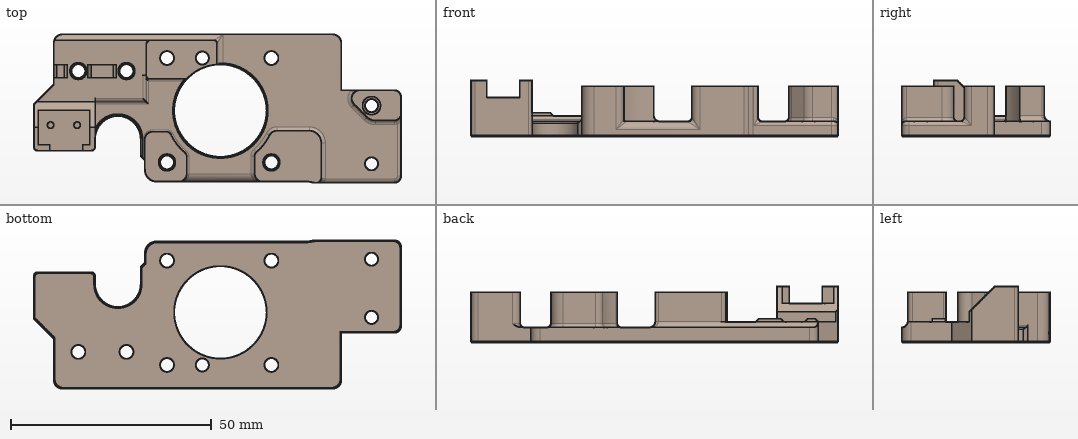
import cadquery as cq
import math


PLATE_TOP = 3.8
LEDGE_TOP = 5.15
POST_TOP = 12.6
TOWER_TOP = 14.0

LENGTH = 91.55
WIDTH = 37.04
X_MIN = -46.2
X_MAX = X_MIN + LENGTH
Y_MAX = 18.95
Y_MIN = Y_MAX - WIDTH
FRONT_Y = -17.8
LEDGE_LEFT_X = -41.25
WING_TOP_Y = 5.0
WING_LEFT_X = 30.45
BACK_CORNER_R = 2.3
WING_CORNER_R = 1.8
FRONT_CORNER_R = 3.0
JOG_X = (21.8, 24.1)
BOTTOM_CHAMFER = 0.3

BOLT_HALF = 13.0
OPENING_X = 0.3
OPENING_Y = -0.1
OPENING_D = 23.0
OPENING_CHAMFER = 0.35
MOTOR_CLEARANCE_R = 13.7
BOLT_D = 3.4
SCREW_D = 3.2
BOLT_RIM_D = 4.2

TOWER_RIGHT_X = -30.9
TOWER_FRONT_Y = -10.1
TOWER_BACK_Y = 2.05
TOWER_SLOPE_Y = -4.25
TOWER_CORNER_R = 1.0
SIDE_CHAMFER_Y = 1.47
POCKET_X = (-45.05, -32.3)
POCKET_Y = (-8.6, 0.0)
POCKET_FLOOR = 9.8
MOUTH_X = (-42.2, -34.0)
PILOT_X = (-42.0, -35.4)
PILOT_Y = -3.7
PILOT_D = 1.6
PILOT_DEPTH = 6.0

NOTCH_R = 5.65
NOTCH_X = TOWER_RIGHT_X + NOTCH_R
NOTCH_Y = -7.1
NOTCH_END_Y = -11.4
NOTCH_CHAMFER = 0.5

LEDGE_RIGHT_X = -18.2
LEDGE_FRONT_Y = 2.1
LEDGE_FOOT_R = 0.5
LEDGE_ROUND_R = LEDGE_TOP - PLATE_TOP - LEDGE_FOOT_R
RIB_Y = 9.75
RIB_WIDTH = 3.2
RIB_HEIGHT = 0.8
RIB_SPANS = ((LEDGE_LEFT_X, -37.8), (-32.7, -25.6))
LEDGE_HOLE_X = (-35.1, -23.1)

POST_RIGHT_X = -0.6
POST_FRONT_Y = 7.85
POST_EDGE_R = 0.8
POST_BACK_R = (1.2, 0.7)
POST_FOOT_R = 0.5
COVE_R = 1.5
POST_HOLE_X = -4.2

SMALL_BOSS_X = (-18.55, -8.1)
SMALL_BOSS_BACK_Y = -5.35
BIG_BOSS_X = (8.85, 25.4)
BIG_BOSS_BACK_Y = -5.1
BOSS_CORNER_R = 2.0
BOSS_ARC_EDGE_R = 1.2
BIG_BOSS_BACK_R = 3.0
BIG_BOSS_FRONT_R = 1.2
SMALL_FOOT_R = 0.5
BIG_FOOT_R = 1.0

WING_BOSS_FRONT_Y = -2.55
WING_BOSS_DIAGONAL = 35.1
WING_TIP_R = 2.05
WING_DIAGONAL_R = 3.0
WING_HOLE_X = 37.95
WING_HOLE_Y = (1.15, -13.35)
WING_BORE_D = 4.5
WING_BORE_DEPTH = 1.0

MID_EDGE_R = 2.0
WING_EDGE_R = 1.0

PICK_REACH = 0.05


def box(x, y, z):
    """Box from three (low, high) pairs."""
    size = (x[1] - x[0], y[1] - y[0], z[1] - z[0])
    return cq.Workplane("XY").box(*size, centered=False).translate((x[0], y[0], z[0]))


def rod(x, y, diameter, z_low, z_high):
    return cq.Workplane("XY", origin=(x, y, z_low)).circle(diameter / 2).extrude(z_high - z_low)


def cone_cut(x, y, small_d, large_d, z_top):
    """45 degree countersink that opens at z_top."""
    depth = (large_d - small_d) / 2
    solid = cq.Solid.makeCone(small_d / 2, large_d / 2, depth, cq.Vector(x, y, z_top - depth))
    return cq.Workplane(obj=solid)


def at(shape, x, y):
    """Vertical edges of the shape that stand at (x, y)."""
    selector = cq.selectors.BoxSelector(
        (x - PICK_REACH, y - PICK_REACH, 0), (x + PICK_REACH, y + PICK_REACH, TOWER_TOP))
    return shape.edges("|Z").edges(selector)


def level_edges(shape, x, y, z):
    """Straight edges of the shape at height z whose centres lie inside the given X and Y ranges."""
    selector = cq.selectors.BoxSelector((x[0], y[0], z - PICK_REACH), (x[1], y[1], z + PICK_REACH))
    return shape.edges("#Z").edges(selector)


def outline_block():
    """Outline of the whole part, extruded to full height, with its underside edge chamfered."""
    side_chamfer = LEDGE_LEFT_X - X_MIN
    notch_right = NOTCH_X + NOTCH_R
    boss_x = SMALL_BOSS_X[0]
    toe = boss_x - notch_right
    jog_mid = ((JOG_X[0] + JOG_X[1]) / 2, (FRONT_Y + Y_MIN) / 2)
    shape = (
        cq.Workplane("XY")
        .moveTo(X_MIN, TOWER_FRONT_Y)
        .lineTo(TOWER_RIGHT_X, TOWER_FRONT_Y)
        .lineTo(TOWER_RIGHT_X, NOTCH_Y)
        .threePointArc((NOTCH_X, NOTCH_Y + NOTCH_R), (notch_right, NOTCH_Y))
        .lineTo(notch_right, NOTCH_END_Y)
        .lineTo(boss_x, NOTCH_END_Y - toe)
        .lineTo(boss_x, FRONT_Y)
        .lineTo(JOG_X[0], FRONT_Y)
        .tangentArcPoint(jog_mid, relative=False)
        .tangentArcPoint((JOG_X[1], Y_MIN), relative=False)
        .lineTo(X_MAX, Y_MIN)
        .lineTo(X_MAX, WING_TOP_Y)
        .lineTo(WING_LEFT_X, WING_TOP_Y)
        .lineTo(WING_LEFT_X, Y_MAX)
        .lineTo(LEDGE_LEFT_X, Y_MAX)
        .lineTo(LEDGE_LEFT_X, SIDE_CHAMFER_Y + side_chamfer)
        .lineTo(X_MIN, SIDE_CHAMFER_Y)
        .close()
        .extrude(TOWER_TOP)
    )
    corners = (
        (X_MIN, TOWER_FRONT_Y, TOWER_CORNER_R),
        (TOWER_RIGHT_X, TOWER_FRONT_Y, TOWER_CORNER_R),
        (boss_x, FRONT_Y, FRONT_CORNER_R),
        (X_MAX, Y_MIN, WING_CORNER_R),
        (X_MAX, WING_TOP_Y, WING_CORNER_R),
        (WING_LEFT_X, Y_MAX, BACK_CORNER_R),
        (LEDGE_LEFT_X, Y_MAX, BACK_CORNER_R),
    )
    for x, y, radius in corners:
        shape = at(shape, x, y).fillet(radius)
    return shape.faces("<Z").chamfer(BOTTOM_CHAMFER)


def make_plate(block):
    """Base plate with the notch edge chamfered and two stretches of its front edge rounded."""
    plate = block.intersect(box((X_MIN, X_MAX), (Y_MIN, Y_MAX), (0, PLATE_TOP)))
    notch_x = (NOTCH_X, NOTCH_X + NOTCH_R + PICK_REACH)
    notch_y = (NOTCH_END_Y, NOTCH_Y)
    plate = level_edges(plate, notch_x, notch_y, PLATE_TOP).chamfer(NOTCH_CHAMFER)

    middle = box(
        (SMALL_BOSS_X[1] - BOSS_CORNER_R, BIG_BOSS_X[0] + BOSS_CORNER_R),
        (Y_MIN, -BOLT_HALF), (0, PLATE_TOP))
    wing = box((JOG_X[1], X_MAX), (Y_MIN, 0), (0, PLATE_TOP))
    middle_piece = plate.intersect(middle).edges(">Z and <Y").fillet(MID_EDGE_R)
    wing_piece = plate.intersect(wing).edges(">Z and >X").fillet(WING_EDGE_R)
    return plate.cut(middle).cut(wing).union(middle_piece).union(wing_piece)


def bend_point(center_u, center_z, radius, side_u, side_z):
    """Middle of a quarter arc; side_u and side_z (-1 or 1) give its quadrant about the centre."""
    reach = radius * math.sqrt(0.5)
    return (center_u + side_u * reach, center_z + side_z * reach)


def ledge_edge_cutter(plane, start, wall, outward, length):
    """Removes the outside of an S-shaped ledge edge; outward (-1 or 1) points off the ledge."""
    crest = wall - outward * LEDGE_ROUND_R
    toe = wall + outward * LEDGE_FOOT_R
    waist_z = PLATE_TOP + LEDGE_FOOT_R
    return (
        cq.Workplane(plane, origin=start)
        .moveTo(crest, LEDGE_TOP)
        .threePointArc(bend_point(crest, waist_z, LEDGE_ROUND_R, outward, 1), (wall, waist_z))
        .threePointArc(bend_point(toe, waist_z, LEDGE_FOOT_R, -outward, -1), (toe, PLATE_TOP))
        .lineTo(toe, LEDGE_TOP)
        .close()
        .extrude(length)
    )


def make_ledge(block):
    """Raised left part of the plate; its front and right edges bend down to the plate."""
    toe_x = LEDGE_RIGHT_X + LEDGE_FOOT_R
    toe_y = LEDGE_FRONT_Y - LEDGE_FOOT_R
    back_y = POST_FRONT_Y + LEDGE_ROUND_R
    bent = box((TOWER_RIGHT_X, toe_x), (toe_y, back_y), (0, LEDGE_TOP))
    bent = bent.cut(ledge_edge_cutter("YZ", (TOWER_RIGHT_X, 0, 0), LEDGE_FRONT_Y, -1, toe_x - TOWER_RIGHT_X))
    bent = bent.cut(ledge_edge_cutter("XZ", (0, back_y, 0), LEDGE_RIGHT_X, 1, back_y - toe_y))
    square = box((X_MIN, LEDGE_RIGHT_X), (back_y, Y_MAX), (0, LEDGE_TOP))
    heel = box((X_MIN, TOWER_RIGHT_X), (TOWER_FRONT_Y, back_y), (0, LEDGE_TOP))
    return block.intersect(bent.union(square).union(heel))


def make_post(block):
    """Back post beside the motor opening."""
    post = box((LEDGE_RIGHT_X, POST_RIGHT_X + COVE_R), (POST_FRONT_Y, Y_MAX), (0, POST_TOP))
    post = at(post, LEDGE_RIGHT_X, POST_FRONT_Y).fillet(POST_EDGE_R)
    toe_y = POST_FRONT_Y - POST_FOOT_R
    foot_top = PLATE_TOP + POST_FOOT_R
    foot = box((LEDGE_RIGHT_X, OPENING_X), (toe_y, POST_FRONT_Y), (0, foot_top))
    hollow = cq.Workplane("YZ", origin=(LEDGE_RIGHT_X, toe_y, foot_top)).circle(POST_FOOT_R)
    foot = foot.cut(hollow.extrude(OPENING_X - LEDGE_RIGHT_X))
    return block.intersect(post.union(foot))


def cut_coves(body):
    """Hollow coves that lead from the plate up to the back and right walls of the post."""
    def cutter(plane, edge, length, start):
        wall = edge - COVE_R
        rim_z = PLATE_TOP + COVE_R
        return (
            cq.Workplane(plane, origin=start)
            .moveTo(edge, PLATE_TOP)
            .threePointArc(bend_point(edge, rim_z, COVE_R, -1, -1), (wall, rim_z))
            .lineTo(wall, POST_TOP)
            .lineTo(edge, POST_TOP)
            .close()
            .extrude(length)
        )
    right_edge = POST_RIGHT_X + COVE_R
    back = cutter("YZ", Y_MAX, right_edge - X_MIN, (X_MIN, 0, 0))
    right = cutter("XZ", right_edge, POST_FRONT_Y - Y_MAX, (0, POST_FRONT_Y, 0))
    body = body.cut(back).cut(right)
    for x, radius in zip((LEDGE_RIGHT_X, POST_RIGHT_X), POST_BACK_R):
        body = at(body, x, Y_MAX - COVE_R).fillet(radius)
    return body


def make_tower(block):
    """Tower with a 45 degree back slope, a pocket open to the front and two pilot holes."""
    back_z = TOWER_TOP - (TOWER_BACK_Y - TOWER_SLOPE_Y)
    tower = (
        cq.Workplane("YZ", origin=(X_MIN, 0, 0))
        .moveTo(TOWER_FRONT_Y, 0)
        .lineTo(TOWER_FRONT_Y, TOWER_TOP)
        .lineTo(TOWER_SLOPE_Y, TOWER_TOP)
        .lineTo(TOWER_BACK_Y, back_z)
        .lineTo(TOWER_BACK_Y, 0)
        .close()
        .extrude(TOWER_RIGHT_X - X_MIN)
    )
    tower = tower.cut(box(POCKET_X, POCKET_Y, (POCKET_FLOOR, TOWER_TOP)))
    tower = tower.cut(box(MOUTH_X, (TOWER_FRONT_Y, POCKET_Y[0]), (POCKET_FLOOR, TOWER_TOP)))
    for x in PILOT_X:
        tower = tower.cut(rod(x, PILOT_Y, PILOT_D, POCKET_FLOOR - PILOT_DEPTH, POCKET_FLOOR))
    return block.intersect(tower)


def make_front_boss(block, x, back_y, corners):
    """Front boss hollowed round the motor opening; corners lists (x, y, radius) to round."""
    boss = box(x, (Y_MIN, back_y), (0, POST_TOP))
    boss = boss.cut(rod(OPENING_X, OPENING_Y, 2 * MOTOR_CLEARANCE_R, 0, POST_TOP))
    boss = block.intersect(boss)
    for corner_x, corner_y, radius in corners:
        boss = at(boss, corner_x, corner_y).fillet(radius)
    return boss


def clearance_x(y, side):
    """X of the motor clearance circle at y, on the given side (-1 or 1)."""
    return OPENING_X + side * math.sqrt(MOTOR_CLEARANCE_R**2 - (y - OPENING_Y)**2)


def clearance_y(x):
    """Y of the front half of the motor clearance circle at x."""
    return OPENING_Y - math.sqrt(MOTOR_CLEARANCE_R**2 - (x - OPENING_X)**2)


def make_small_boss(block):
    left, right = SMALL_BOSS_X
    corners = (
        (left, SMALL_BOSS_BACK_Y, BOSS_CORNER_R),
        (clearance_x(SMALL_BOSS_BACK_Y, -1), SMALL_BOSS_BACK_Y, BOSS_ARC_EDGE_R),
        (right, clearance_y(right), BOSS_ARC_EDGE_R),
        (right, FRONT_Y, BOSS_CORNER_R),
    )
    return make_front_boss(block, SMALL_BOSS_X, SMALL_BOSS_BACK_Y, corners)


def make_big_boss(block):
    left, right = BIG_BOSS_X
    corners = (
        (right, BIG_BOSS_BACK_Y, BIG_BOSS_BACK_R),
        (clearance_x(BIG_BOSS_BACK_Y, 1), BIG_BOSS_BACK_Y, BOSS_CORNER_R),
        (left, clearance_y(left), BOSS_ARC_EDGE_R),
        (left, FRONT_Y, BOSS_CORNER_R),
        (right, Y_MIN, BIG_BOSS_FRONT_R),
    )
    return make_front_boss(block, BIG_BOSS_X, BIG_BOSS_BACK_Y, corners)


def make_wing_boss(block):
    tip_x = WING_BOSS_DIAGONAL - WING_TOP_Y
    toe_x = WING_BOSS_DIAGONAL - WING_BOSS_FRONT_Y
    boss = (
        cq.Workplane("XY")
        .moveTo(tip_x, WING_TOP_Y)
        .lineTo(toe_x, WING_BOSS_FRONT_Y)
        .lineTo(X_MAX, WING_BOSS_FRONT_Y)
        .lineTo(X_MAX, WING_TOP_Y)
        .close()
        .extrude(POST_TOP)
    )
    boss = at(boss, tip_x, WING_TOP_Y).fillet(WING_TIP_R)
    boss = at(boss, toe_x, WING_BOSS_FRONT_Y).fillet(WING_DIAGONAL_R)
    boss = at(boss, X_MAX, WING_BOSS_FRONT_Y).fillet(WING_CORNER_R)
    return block.intersect(boss)


def add_foot(body, x, y, radius):
    """Round the inside corner where the boss with walls inside the x and y ranges meets the plate."""
    grown_x = (x[0] - PICK_REACH, x[1] + PICK_REACH)
    grown_y = (y[0] - PICK_REACH, y[1] + PICK_REACH)
    return level_edges(body, grown_x, grown_y, PLATE_TOP).fillet(radius)


def make_rib(x):
    """Low locating rib on the ledge with 45 degree ends."""
    return (
        cq.Workplane("XZ", origin=(0, RIB_Y + RIB_WIDTH / 2, 0))
        .moveTo(x[0], LEDGE_TOP)
        .lineTo(x[0] + RIB_HEIGHT, LEDGE_TOP + RIB_HEIGHT)
        .lineTo(x[1] - RIB_HEIGHT, LEDGE_TOP + RIB_HEIGHT)
        .lineTo(x[1], LEDGE_TOP)
        .close()
        .extrude(RIB_WIDTH)
    )


def cut_holes(body):
    """Motor opening and all through holes."""
    body = body.cut(rod(OPENING_X, OPENING_Y, OPENING_D, 0, TOWER_TOP))
    rim_d = OPENING_D + 2 * OPENING_CHAMFER
    rim = cone_cut(OPENING_X, OPENING_Y, OPENING_D, rim_d, PLATE_TOP)
    post_zone = box((LEDGE_RIGHT_X, POST_RIGHT_X), (POST_FRONT_Y, Y_MAX), (0, POST_TOP))
    body = body.cut(rim.cut(post_zone))

    plain = [(-BOLT_HALF, BOLT_HALF, BOLT_D), (BOLT_HALF, BOLT_HALF, BOLT_D)]
    plain += [(POST_HOLE_X, BOLT_HALF, SCREW_D)]
    plain += [(WING_HOLE_X, y, SCREW_D) for y in WING_HOLE_Y]
    for x, y, diameter in plain:
        body = body.cut(rod(x, y, diameter, 0, TOWER_TOP))

    rimmed = [(-BOLT_HALF, -BOLT_HALF, POST_TOP), (BOLT_HALF, -BOLT_HALF, POST_TOP)]
    rimmed += [(x, RIB_Y, LEDGE_TOP) for x in LEDGE_HOLE_X]
    for x, y, top in rimmed:
        body = body.cut(rod(x, y, BOLT_D, 0, TOWER_TOP))
        body = body.cut(cone_cut(x, y, BOLT_D, BOLT_RIM_D, top))

    bore = rod(WING_HOLE_X, WING_HOLE_Y[0], WING_BORE_D, POST_TOP - WING_BORE_DEPTH, POST_TOP)
    return body.cut(bore)


block = outline_block()
body = make_plate(block)
for part in (make_ledge(block), make_post(block), make_tower(block)):
    body = body.union(part)
body = cut_coves(body)
for part in (make_small_boss(block), make_big_boss(block), make_wing_boss(block)):
    body = body.union(part)
body = add_foot(body, SMALL_BOSS_X, (FRONT_Y + MID_EDGE_R, SMALL_BOSS_BACK_Y), SMALL_FOOT_R)
body = add_foot(body, BIG_BOSS_X, (FRONT_Y + MID_EDGE_R, BIG_BOSS_BACK_Y), BIG_FOOT_R)
body = add_foot(body, (WING_LEFT_X, X_MAX), (WING_BOSS_FRONT_Y, WING_HOLE_Y[0]), BIG_FOOT_R)
for span in RIB_SPANS:
    body = body.union(make_rib(span))
result = cut_holes(body)